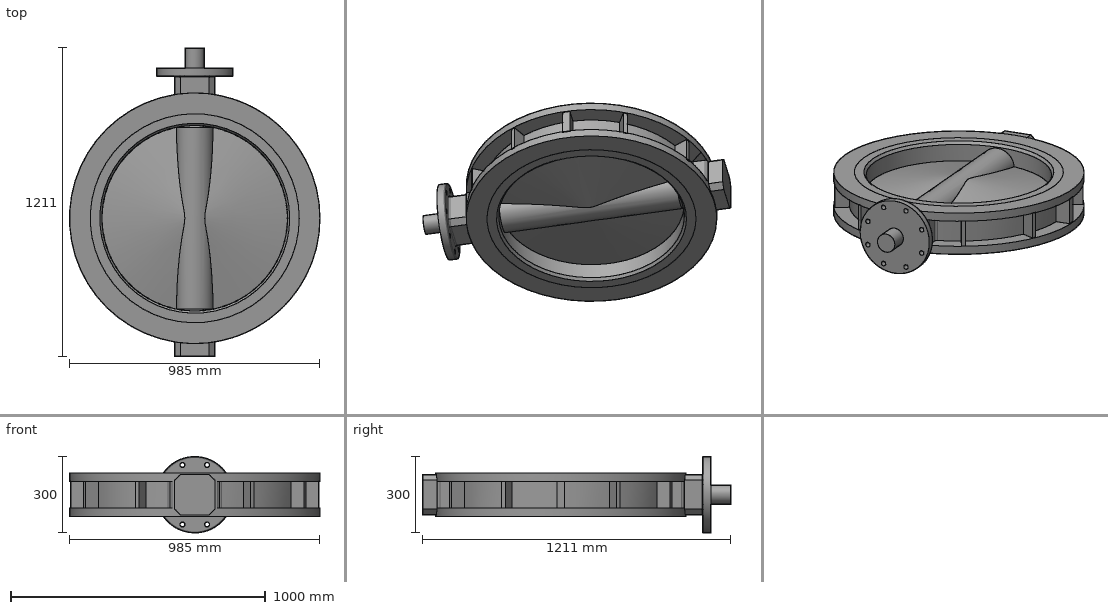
import cadquery as cq
import math

OVERALL_LENGTH = 1211.0

FLANGE_DIAMETER = 985.0
FLANGE_RADIUS = FLANGE_DIAMETER / 2
BODY_HALF_HEIGHT = 86.0
FLANGE_THICKNESS = 34.0
WALL_RADIUS = 430.0
SEAT_RADIUS = 410.0
GAP_HALF_HEIGHT = BODY_HALF_HEIGHT - FLANGE_THICKNESS

RIB_RADIUS = 488.0
RIB_WIDTH = 16.0
SIDE_RIB_WIDTH = 29.0
RIB_ANGLES = [27.5, 62.5]

BLOCK_HALF_WIDTH = 97.0
BLOCK_CORNER_FILLET = 10.0
BLOCK_WALL_FILLET = 11.0

BOSS_HALF_WIDTH = 79.0
BOSS_CHAMFER = 22.0
BOTTOM_BOSS_END = -543.0

MOUNT_RADIUS = 150.0
MOUNT_START = 557.0
MOUNT_END = 590.0
MOUNT_FILLET = 4.0
NECK_FILLET = 5.0
BOLT_CIRCLE_DIAMETER = 253.0
BOLT_HOLE_DIAMETER = 18.0
BOLT_COUNT = 8

BORE_RADIUS = 365.0
LINER_CHAMFER_WIDTH = 8.0
LINER_CHAMFER_HEIGHT = 12.0

DISC_RIM_HALF_THICKNESS = 6.0
DISC_CENTRE_HALF_THICKNESS = 68.0
HUB_RADIUS = 73.0
HUB_HALF_LENGTH = 356.0

STEM_RADIUS = 38.0
STEM_START = SEAT_RADIUS
STEM_END = OVERALL_LENGTH + BOTTOM_BOSS_END


def disk_z(radius, half_height):
    """Cylinder about Z, centred on the origin."""
    return cq.Workplane("XY").circle(radius).extrude(half_height, both=True)


def rod_y(radius, start, end):
    """Cylinder about Y between two Y positions."""
    return cq.Workplane("XZ", origin=(0, start, 0)).circle(radius).extrude(start - end)


def boss(start, end):
    """Square bar along Y with chamfered long edges."""
    side = 2 * BOSS_HALF_WIDTH
    bar = cq.Workplane("XZ", origin=(0, start, 0)).rect(side, side).extrude(start - end)
    return bar.edges("|Y").chamfer(BOSS_CHAMFER)


def make_rib(angle, width):
    """Radial rib that reaches from the wall to just inside the flange rim."""
    length = RIB_RADIUS - SEAT_RADIUS
    middle = (RIB_RADIUS + SEAT_RADIUS) / 2
    rib = cq.Workplane("XY").box(length, width, 2 * GAP_HALF_HEIGHT)
    return rib.translate((middle, 0, 0)).rotate((0, 0, 0), (0, 0, 1), angle)


def make_core():
    """Wall and trunnion blocks, with rounded corners inside and out."""
    blocks = (
        cq.Workplane("XY")
        .box(2 * BLOCK_HALF_WIDTH, 2 * FLANGE_RADIUS, 2 * GAP_HALF_HEIGHT)
        .intersect(disk_z(FLANGE_RADIUS, GAP_HALF_HEIGHT))
        .edges("|Z")
        .fillet(BLOCK_CORNER_FILLET)
    )
    core = disk_z(WALL_RADIUS, GAP_HALF_HEIGHT).union(blocks)
    root_y = math.sqrt(WALL_RADIUS ** 2 - BLOCK_HALF_WIDTH ** 2)
    for x in (-BLOCK_HALF_WIDTH, BLOCK_HALF_WIDTH):
        for y in (-root_y, root_y):
            root = cq.selectors.NearestToPointSelector((x, y, 0))
            core = core.edges("|Z").edges(root).fillet(BLOCK_WALL_FILLET)
    return core


def make_neck():
    """Upper boss with the drilled mounting flange at its end."""
    flange = rod_y(MOUNT_RADIUS, MOUNT_START, MOUNT_END)
    flange = flange.faces("<Y").edges().fillet(MOUNT_FILLET)
    neck = boss(SEAT_RADIUS, MOUNT_START).union(flange)
    reach = BOSS_HALF_WIDTH + NECK_FILLET
    joint = cq.selectors.BoxSelector(
        (-reach, MOUNT_START - NECK_FILLET / 2, -reach),
        (reach, MOUNT_START + NECK_FILLET / 2, reach),
    )
    neck = neck.edges(joint).fillet(NECK_FILLET)
    bolt_circle_radius = BOLT_CIRCLE_DIAMETER / 2
    for index in range(BOLT_COUNT):
        angle = math.radians((index + 0.5) * 360 / BOLT_COUNT)
        hole = rod_y(BOLT_HOLE_DIAMETER / 2, MOUNT_START, MOUNT_END)
        x = bolt_circle_radius * math.cos(angle)
        z = bolt_circle_radius * math.sin(angle)
        neck = neck.cut(hole.translate((x, 0, z)))
    return neck


def make_body():
    """Flanged housing with ribs, bosses and neck, bored for the liner and the stem."""
    body = make_core()
    for base in (-BODY_HALF_HEIGHT, GAP_HALF_HEIGHT):
        flange = cq.Workplane("XY", origin=(0, 0, base)).circle(FLANGE_RADIUS).extrude(FLANGE_THICKNESS)
        body = body.union(flange)
    for side in (0, 180):
        body = body.union(make_rib(side, SIDE_RIB_WIDTH))
        for angle in RIB_ANGLES:
            body = body.union(make_rib(side + angle, RIB_WIDTH))
            body = body.union(make_rib(side - angle, RIB_WIDTH))
    body = body.union(boss(BOTTOM_BOSS_END, -SEAT_RADIUS)).union(make_neck())
    body = body.cut(disk_z(SEAT_RADIUS, BODY_HALF_HEIGHT))
    return body.cut(make_stem())


def make_liner():
    """Ring lining the body, chamfered at both mouths of its bore."""
    mouth = BORE_RADIUS + LINER_CHAMFER_WIDTH
    shoulder = BODY_HALF_HEIGHT - LINER_CHAMFER_HEIGHT
    section = [
        (SEAT_RADIUS, -BODY_HALF_HEIGHT),
        (SEAT_RADIUS, BODY_HALF_HEIGHT),
        (mouth, BODY_HALF_HEIGHT),
        (BORE_RADIUS, shoulder),
        (BORE_RADIUS, -shoulder),
        (mouth, -BODY_HALF_HEIGHT),
    ]
    return cq.Workplane("XZ").polyline(section).close().revolve(360, (0, 0, 0), (0, 1, 0))


def make_disc():
    """Double cone with a thin rim and a cylindrical hub across it."""
    section = [
        (0, -DISC_CENTRE_HALF_THICKNESS),
        (-BORE_RADIUS, -DISC_RIM_HALF_THICKNESS),
        (-BORE_RADIUS, DISC_RIM_HALF_THICKNESS),
        (0, DISC_CENTRE_HALF_THICKNESS),
    ]
    plate = cq.Workplane("XZ").polyline(section).close().revolve(360, (0, 0, 0), (0, 1, 0))
    return plate.union(rod_y(HUB_RADIUS, -HUB_HALF_LENGTH, HUB_HALF_LENGTH))


def make_stem():
    """Round drive shaft that runs from the liner out through the neck."""
    return rod_y(STEM_RADIUS, STEM_START, STEM_END)


body = make_body()
liner = make_liner()
disc = make_disc()
stem = make_stem()

result = cq.Compound.makeCompound([body.solids().val(), liner.val(), disc.solids().val(), stem.val()])